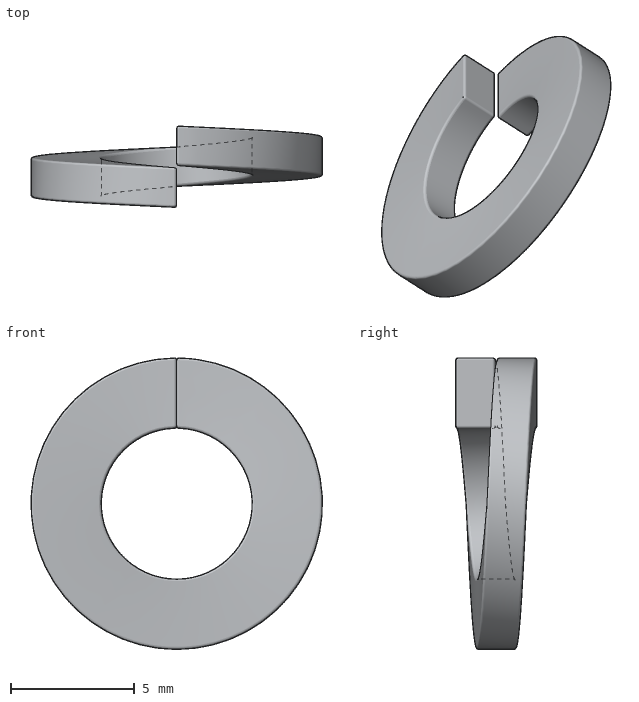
import cadquery as cq

outer_diameter = 11.8
inner_diameter = 6.1
thickness = 1.6
pitch = 1.7
edge_radius = 0.1

radial_width = (outer_diameter - inner_diameter) / 2
mean_radius = (outer_diameter + inner_diameter) / 4


def helical_coil():
    """Sweep the rectangular wire section through one turn about Z, starting on the +X side."""
    path = cq.Wire.makeHelix(pitch, pitch, mean_radius, lefthand=True)
    section = cq.Workplane("XZ").center(mean_radius, 0).rect(radial_width, thickness)
    return section.sweep(cq.Workplane(obj=path), isFrenet=True)


def place_on_y_axis(coil):
    """Centre the coil on the origin, with its axis on Y and its split at +Z."""
    centred = coil.translate((0, 0, -pitch / 2))
    split_turned = centred.rotate((0, 0, 0), (0, 0, 1), -90)
    return split_turned.rotate((0, 0, 0), (1, 0, 0), -90)


result = place_on_y_axis(helical_coil()).edges().fillet(edge_radius)